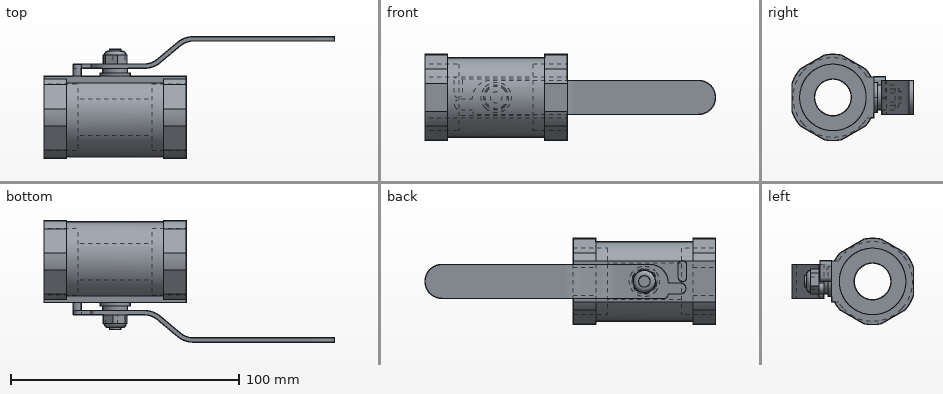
import cadquery as cq
import math


HEX_HALF_ANGLE = math.pi / 6

BODY_LENGTH = 62.5
BODY_RADIUS = 17.5
COLLAR_LENGTH = 10.0
COLLAR_FLATS = 36.0
COLLAR_RADIUS = 19.0
PORT_RADIUS = 14.6
PORT_DEPTH = 15.0
BORE_RADIUS = 8.0
PAD_WIDTH = 18.0
PAD_Y = COLLAR_FLATS / 2

HANDLE_WIDTH = 15.0
HANDLE_THICKNESS = 2.0
HANDLE_LOW_Y = 21.4
HANDLE_OFFSET = 12.0
HANDLE_TIP_X = 96.23
BEND_START_X = 12.75
BEND_ANGLE = 40.0
BEND_RADIUS = 10.0
TAIL_END_X = -15.8
TAIL_TOP_Z = -0.65
TAIL_BOTTOM_Z = -5.5
SHOULDER_X = -10.5

FLANGE_RADIUS = 6.65
FLANGE_TOP_Y = 19.5
GLAND_RADIUS = 5.5
HANDLE_TOP_Y = HANDLE_LOW_Y + HANDLE_THICKNESS
NUT_FLATS = 9.7
NUT_TURN = 20.0
NUT_HEX_TOP_Y = 27.2
NUT_TOP_Y = 28.95
DOME_MID_RADIUS = 4.35
DOME_MID_Y = 28.4
STEM_RADIUS = 2.5
STEM_TOP_Y = 29.85

LUG_X = -16.7
LUG_RADIUS = 1.88
LUG_TOP_Z = 9.1
LUG_BOTTOM_Z = -0.1
LUG_TOP_Y = 23.1


def x_cylinder(radius, start, length):
    return cq.Workplane("YZ").workplane(offset=start).circle(radius).extrude(length)


def y_plane(y):
    """Plane at height y whose local axes are X and Z and whose normal is -Y."""
    return cq.Workplane("XZ", origin=(0, y, 0))


def y_cylinder(radius, y_low, y_high):
    return y_plane(y_low).circle(radius).extrude(y_low - y_high)


def hex_collar(start):
    """Hexagonal wrench collar with flats facing +Y and -Y and its corners turned round."""
    corner_diameter = COLLAR_FLATS / math.cos(HEX_HALF_ANGLE)
    hexagon = (
        cq.Workplane("YZ")
        .workplane(offset=start)
        .transformed(rotate=(0, 0, math.degrees(HEX_HALF_ANGLE)))
        .polygon(6, corner_diameter)
        .extrude(COLLAR_LENGTH)
    )
    return hexagon.intersect(x_cylinder(COLLAR_RADIUS, start, COLLAR_LENGTH))


def make_body():
    half = BODY_LENGTH / 2
    body = x_cylinder(BODY_RADIUS, -half, BODY_LENGTH)
    pad = cq.Workplane("XY").box(BODY_LENGTH, PAD_Y, PAD_WIDTH).translate((0, PAD_Y / 2, 0))
    body = body.union(pad)
    for start in (-half, half - COLLAR_LENGTH):
        body = body.union(hex_collar(start))
    body = body.cut(x_cylinder(BORE_RADIUS, -half, BODY_LENGTH))
    for start in (-half, half - PORT_DEPTH):
        body = body.cut(x_cylinder(PORT_RADIUS, start, PORT_DEPTH))
    return body


def handle_strip():
    """Strip section swept along the bent centerline, running past both ends of the handle."""
    angle = math.radians(BEND_ANGLE)
    tangent = BEND_RADIUS * math.tan(angle / 2)
    run = 2 * tangent + HANDLE_OFFSET / math.tan(angle)
    mid_y = HANDLE_LOW_Y + HANDLE_THICKNESS / 2
    top_y = mid_y + HANDLE_OFFSET
    bend_end_x = BEND_START_X + run
    turn_x = BEND_RADIUS * math.sin(angle)
    turn_y = BEND_RADIUS * (1 - math.cos(angle))
    half_turn_x = BEND_RADIUS * math.sin(angle / 2)
    half_turn_y = BEND_RADIUS * (1 - math.cos(angle / 2))
    start_x = TAIL_END_X - HANDLE_WIDTH
    centerline = (
        cq.Workplane("XY")
        .moveTo(start_x, mid_y)
        .lineTo(BEND_START_X, mid_y)
        .threePointArc(
            (BEND_START_X + half_turn_x, mid_y + half_turn_y),
            (BEND_START_X + turn_x, mid_y + turn_y),
        )
        .lineTo(bend_end_x - turn_x, top_y - turn_y)
        .threePointArc((bend_end_x - half_turn_x, top_y - half_turn_y), (bend_end_x, top_y))
        .lineTo(HANDLE_TIP_X + HANDLE_WIDTH, top_y)
    )
    section = cq.Workplane("YZ", origin=(start_x, mid_y, 0)).rect(HANDLE_THICKNESS, HANDLE_WIDTH)
    return section.sweep(centerline)


def handle_outline():
    """Plan outline of the handle, extruded through the full height of the strip."""
    half = HANDLE_WIDTH / 2
    diagonal = math.sqrt(0.5)
    notch_radius = half - TAIL_TOP_Z
    notch_x = SHOULDER_X + notch_radius
    tail_radius = (TAIL_TOP_Z - TAIL_BOTTOM_Z) / 2
    tail_z = TAIL_TOP_Z - tail_radius
    shoulder_radius = half + TAIL_BOTTOM_Z
    shoulder_x = SHOULDER_X + shoulder_radius
    return (
        y_plane(0)
        .moveTo(notch_x, half)
        .lineTo(HANDLE_TIP_X - half, half)
        .threePointArc((HANDLE_TIP_X, 0), (HANDLE_TIP_X - half, -half))
        .lineTo(shoulder_x, -half)
        .threePointArc(
            (shoulder_x - shoulder_radius * diagonal, TAIL_BOTTOM_Z - shoulder_radius * diagonal),
            (SHOULDER_X, TAIL_BOTTOM_Z),
        )
        .lineTo(TAIL_END_X, TAIL_BOTTOM_Z)
        .threePointArc((TAIL_END_X - tail_radius, tail_z), (TAIL_END_X, TAIL_TOP_Z))
        .lineTo(SHOULDER_X, TAIL_TOP_Z)
        .threePointArc(
            (notch_x - notch_radius * diagonal, TAIL_TOP_Z + notch_radius * diagonal),
            (notch_x, half),
        )
        .close()
        .extrude(-(HANDLE_TOP_Y + HANDLE_OFFSET + HANDLE_THICKNESS))
    )


def make_handle():
    return handle_strip().intersect(handle_outline())


def make_nut():
    """Hexagon nut with a domed top, turned about the stem."""
    corner_diameter = NUT_FLATS / math.cos(HEX_HALF_ANGLE)
    hexagon = (
        y_plane(HANDLE_TOP_Y)
        .transformed(rotate=(0, 0, NUT_TURN))
        .polygon(6, corner_diameter)
        .extrude(HANDLE_TOP_Y - NUT_HEX_TOP_Y)
    )
    base_radius = NUT_FLATS / 2
    dome = (
        cq.Workplane("XY")
        .moveTo(0, NUT_HEX_TOP_Y)
        .lineTo(base_radius, NUT_HEX_TOP_Y)
        .threePointArc((DOME_MID_RADIUS, DOME_MID_Y), (STEM_RADIUS, NUT_TOP_Y))
        .lineTo(0, NUT_TOP_Y)
        .close()
        .revolve(360, (0, 0), (0, 1))
    )
    return hexagon.union(dome)


def make_stem():
    flange = y_cylinder(FLANGE_RADIUS, PAD_Y, FLANGE_TOP_Y)
    gland = y_cylinder(GLAND_RADIUS, FLANGE_TOP_Y, HANDLE_LOW_Y)
    stem = y_cylinder(STEM_RADIUS, PAD_Y, STEM_TOP_Y)
    return flange.union(gland).union(stem)


def make_stop_lug():
    length = LUG_TOP_Z - LUG_BOTTOM_Z
    return (
        y_plane(PAD_Y)
        .center(LUG_X, (LUG_TOP_Z + LUG_BOTTOM_Z) / 2)
        .slot2D(length, 2 * LUG_RADIUS, 90)
        .extrude(PAD_Y - LUG_TOP_Y)
    )


result = make_body()
for component in (make_stem(), make_handle(), make_nut(), make_stop_lug()):
    result = result.union(component)